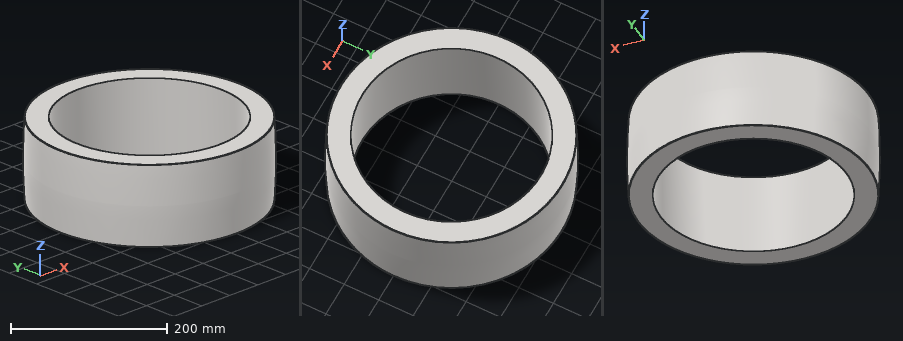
import cadquery as cq
import math

max_diameter = 324.0
end_diameter = 320.0
bore_diameter = 257.8
height = 114.3
land_width = 1.0
edge_chamfer = 0.5

max_radius = max_diameter / 2
end_radius = end_diameter / 2
bore_radius = bore_diameter / 2
half_height = height / 2
half_land = land_width / 2

crown_length = half_height - half_land
crown_drop = max_radius - end_radius
crown_radius = (crown_length**2 + crown_drop**2) / (2 * crown_drop)


def crown_middle(side):
    """Point halfway along the crown arc above (side = 1) or below (side = -1) the land."""
    distance = crown_length / 2
    radius = max_radius - crown_radius + math.sqrt(crown_radius**2 - distance**2)
    return (radius, side * (half_land + distance))


profile = (
    cq.Workplane("XZ")
    .moveTo(bore_radius, -half_height)
    .lineTo(end_radius, -half_height)
    .threePointArc(crown_middle(-1), (max_radius, -half_land))
    .lineTo(max_radius, half_land)
    .threePointArc(crown_middle(1), (end_radius, half_height))
    .lineTo(bore_radius, half_height)
    .close()
)
ring = profile.revolve(360, (0, 0, 0), (0, 1, 0))

outer_rims = cq.selectors.RadiusNthSelector(-1)
result = ring.faces("|Z").edges(outer_rims).chamfer(edge_chamfer)